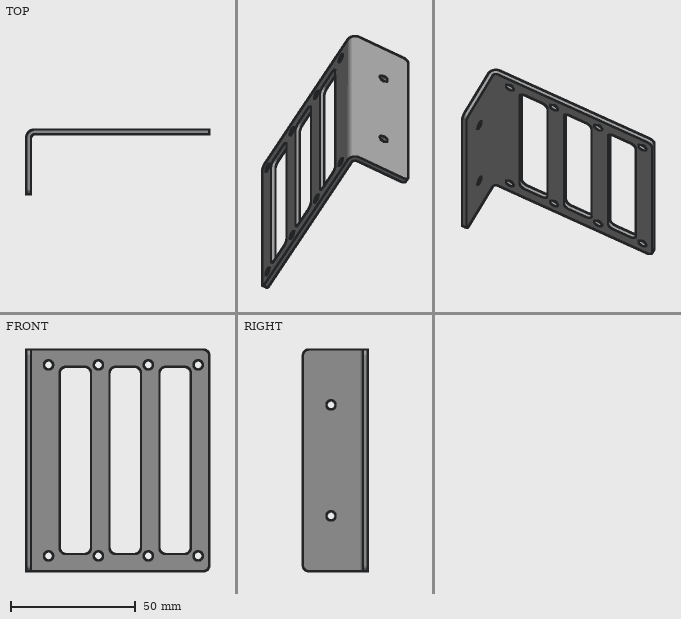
import cadquery as cq

length = 73.5
depth = 26.1
height = 89.0
thickness = 2.0
bend_inner_radius = 1.5
bend_outer_radius = bend_inner_radius + thickness
corner_radius = 2.5

hole_diameter = 3.6
plate_hole_count = 4
plate_hole_pitch = 20.0
plate_hole_edge = 4.5
plate_hole_spacing_z = 76.6

slot_count = plate_hole_count - 1
slot_width = 12.5
slot_height = 75.0
slot_corner_radius = 2.5
slot_edge = plate_hole_pitch - slot_width

flange_hole_spacing_z = height / 2
flange_hole_edge = 11.35



def bent_sheet():
    """L-shaped sheet with a rounded bend, extruded along the bend line."""
    profile = (
        cq.Workplane("XY")
        .moveTo(length, 0)
        .lineTo(bend_outer_radius, 0)
        .radiusArc((0, -bend_outer_radius), -bend_outer_radius)
        .lineTo(0, -depth)
        .lineTo(thickness, -depth)
        .lineTo(thickness, -bend_outer_radius)
        .radiusArc((bend_outer_radius, -thickness), bend_inner_radius)
        .lineTo(length, -thickness)
        .close()
    )
    return profile.extrude(height / 2, both=True)


def round_free_corners(sheet):
    """Round the two free corners of the plate and of the flange."""
    plate_corners = sheet.faces(">X").edges("|Y")
    sheet = plate_corners.fillet(corner_radius)
    flange_corners = sheet.faces("<Y").edges("|X")
    return flange_corners.fillet(corner_radius)


def plate_holes():
    """Cutters for both rows of holes through the plate."""
    last_hole_x = length - plate_hole_edge
    half_spacing = plate_hole_spacing_z / 2
    centres = []
    for index in range(plate_hole_count):
        x = last_hole_x - index * plate_hole_pitch
        centres.append((x, half_spacing))
        centres.append((x, -half_spacing))
    return cq.Workplane("XZ").pushPoints(centres).circle(hole_diameter / 2).extrude(thickness)


def plate_slots():
    """Cutters for the tall windows with rounded corners."""
    last_slot_x = length - slot_edge - slot_width / 2
    centres = [(last_slot_x - index * plate_hole_pitch, 0) for index in range(slot_count)]
    slots = cq.Workplane("XZ").pushPoints(centres).rect(slot_width, slot_height).extrude(thickness)
    return slots.edges("|Y").fillet(slot_corner_radius)


def flange_holes():
    """Cutters for the pair of holes through the flange."""
    y = flange_hole_edge - depth
    half_spacing = flange_hole_spacing_z / 2
    centres = [(y, half_spacing), (y, -half_spacing)]
    return cq.Workplane("YZ").pushPoints(centres).circle(hole_diameter / 2).extrude(thickness)


result = round_free_corners(bent_sheet())
result = result.cut(plate_holes()).cut(plate_slots()).cut(flange_holes())